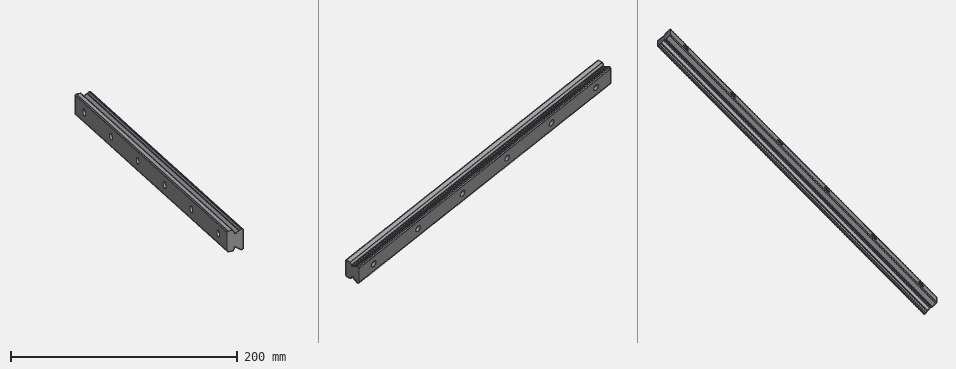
import cadquery as cq

length = 340.0
depth = 15.5
height = 20.0
edge_chamfer = 1.0

groove_front_y = 5.5
floor_front_y = 7.0
floor_back_y = 8.5
ledge_front_y = 11.2
ledge_back_y = 12.0
groove_back_y = 13.3
groove_depth = 3.5
front_flank_depth = 2.0
ledge_depth = 1.2

hole_count = 6
hole_diameter = 6.0
hole_end_distance = 20.0
hole_pitch = (length - 2 * hole_end_distance) / (hole_count - 1)


def make_rail():
    """Extrude a rectangular bar along X and chamfer its long edges."""
    bar = cq.Workplane("XY").box(length, depth, height)
    return bar.edges("|X").chamfer(edge_chamfer)


def make_groove():
    """Make the cutter for the top groove, with a step in front and a ledge on its back flank."""
    front = -depth / 2
    top = height / 2
    points = [
        (front + groove_front_y, top),
        (front + floor_front_y, top - front_flank_depth),
        (front + floor_front_y, top - groove_depth),
        (front + floor_back_y, top - groove_depth),
        (front + ledge_front_y, top - ledge_depth),
        (front + ledge_back_y, top - ledge_depth),
        (front + groove_back_y, top),
    ]
    return cq.Workplane("YZ").polyline(points).close().extrude(length / 2, both=True)


def make_holes():
    """Make the cutters for the row of holes running front to back."""
    centers = [
        (-length / 2 + hole_end_distance + index * hole_pitch, 0)
        for index in range(hole_count)
    ]
    row = cq.Workplane("XZ").pushPoints(centers)
    return row.circle(hole_diameter / 2).extrude(depth / 2, both=True)


top_groove = make_groove()
bottom_groove = top_groove.mirror("XY")
result = make_rail().cut(top_groove).cut(bottom_groove).cut(make_holes())